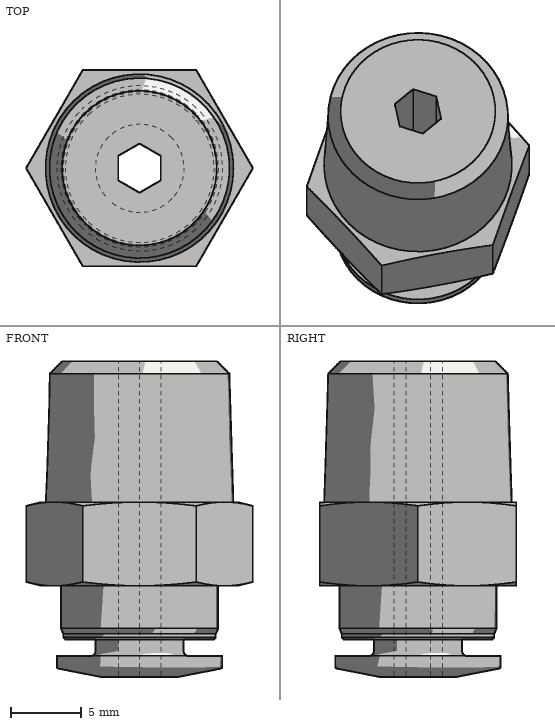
import cadquery as cq
import math

total_height = 22.5
nut_height = 5.96
thread_length = 10.04
nut_top = total_height - thread_length
nut_bottom = nut_top - nut_height

thread_base_radius = 13.39 / 2
thread_taper = 1 / 32
thread_chamfer = 0.9

nut_across_flats = 14.0
nut_chamfer_drop = 0.27

body_radius = 11.2 / 2
body_bottom = 2.68
lip_radius = 10.9 / 2
lip_height = 0.4
lip_bevel = 0.15
lip_taper_height = 0.38

neck_radius = 6.3 / 2
neck_fillet = 0.34
flange_radius = 11.8 / 2
flange_top = 1.5
flange_edge_bottom = 0.76
flange_edge_fillet = 0.18
flange_foot_radius = 2.72

socket_across_flats = 3.02


def corner_diameter(across_flats):
    return across_flats / math.cos(math.pi / 6)


def make_nut():
    """Hexagon with its corners trimmed by a cone at both ends."""
    corner_radius = corner_diameter(nut_across_flats) / 2
    flat_radius = nut_across_flats / 2
    hexagon = (
        cq.Workplane("XY", origin=(0, 0, nut_bottom))
        .polygon(6, 2 * corner_radius)
        .extrude(nut_height)
    )
    trim = (
        cq.Workplane("XZ")
        .moveTo(0, nut_bottom)
        .lineTo(flat_radius, nut_bottom)
        .lineTo(corner_radius, nut_bottom + nut_chamfer_drop)
        .lineTo(corner_radius, nut_top - nut_chamfer_drop)
        .lineTo(flat_radius, nut_top)
        .lineTo(0, nut_top)
        .close()
        .revolve(360, (0, 0), (0, 1))
    )
    return hexagon.intersect(trim)


def make_turned_core():
    """Sleeve, body and tapered thread revolved as one profile."""
    chamfer_start = total_height - thread_chamfer
    thread_end_radius = thread_base_radius - thread_taper * (chamfer_start - nut_top)
    flange_foot_top = flange_edge_bottom - flange_edge_fillet
    fillet_mid = math.sqrt(0.5)
    return (
        cq.Workplane("XZ")
        .lineTo(flange_foot_radius, 0)
        .lineTo(flange_radius - flange_edge_fillet, flange_foot_top)
        .threePointArc(
            (
                flange_radius - flange_edge_fillet * (1 - fillet_mid),
                flange_edge_bottom - flange_edge_fillet * fillet_mid,
            ),
            (flange_radius, flange_edge_bottom),
        )
        .lineTo(flange_radius, flange_top)
        .lineTo(neck_radius + neck_fillet, flange_top)
        .threePointArc(
            (
                neck_radius + neck_fillet * (1 - fillet_mid),
                flange_top + neck_fillet * (1 - fillet_mid),
            ),
            (neck_radius, flange_top + neck_fillet),
        )
        .lineTo(neck_radius, body_bottom)
        .lineTo(lip_radius - lip_bevel, body_bottom)
        .lineTo(lip_radius, body_bottom + lip_bevel)
        .lineTo(lip_radius, body_bottom + lip_height)
        .lineTo(body_radius, body_bottom + lip_height + lip_taper_height)
        .lineTo(body_radius, nut_top)
        .lineTo(thread_base_radius, nut_top)
        .lineTo(thread_end_radius, chamfer_start)
        .lineTo(thread_end_radius - thread_chamfer, total_height)
        .lineTo(0, total_height)
        .close()
        .revolve(360, (0, 0), (0, 1))
    )


def make_socket():
    """Through hexagon with two flats facing along X."""
    return (
        cq.Workplane("XY")
        .polygon(6, corner_diameter(socket_across_flats))
        .extrude(total_height)
        .rotate((0, 0, 0), (0, 0, 1), 30)
    )


result = make_turned_core().union(make_nut()).cut(make_socket())